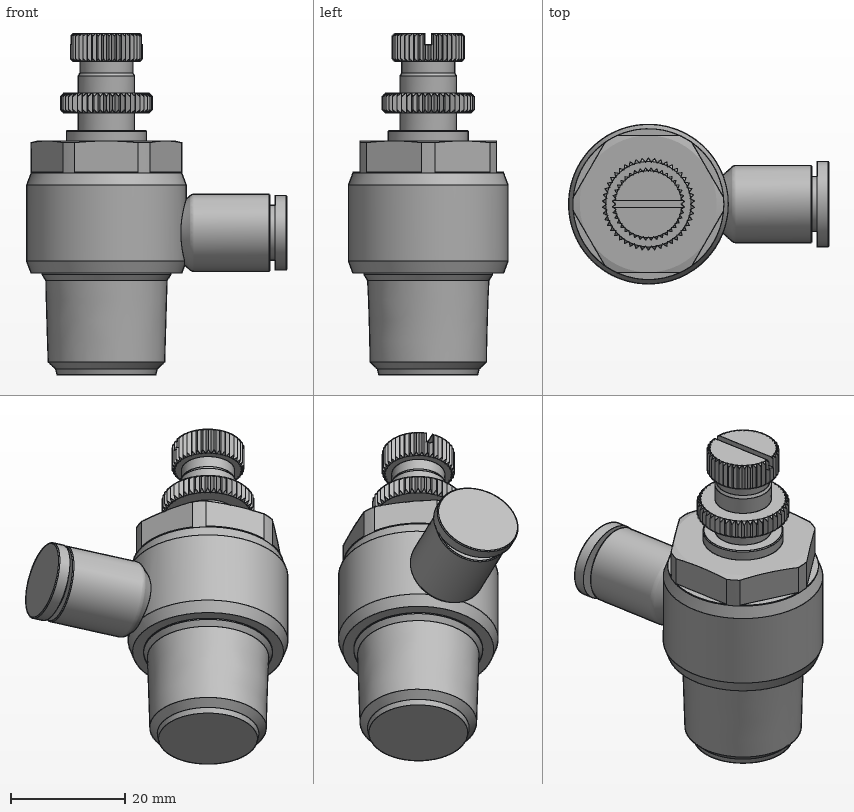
import cadquery as cq
import math

tip_top = 1.0
thread_bottom = 2.3
thread_top = 16.55
neck_top = 17.6
body_bottom = 17.8
body_top = 35.35
hex_bottom = 35.5
hex_top = 40.95
collar_top = 42.8
nut_bottom = 45.85
nut_top = 49.35
rod_step_bottom = 52.3
rod_step_top = 52.85
head_bottom = 54.9
total_height = 59.8

tip_end_radius = 8.7
tip_radius = 8.9
thread_bottom_radius = 10.2
thread_top_radius = 10.65
neck_radius = 11.3
body_radius = 14.0
body_end_radius = 13.2
body_chamfer_height = 2.1

hex_across_flats = 24.0
hex_corner_radius = body_end_radius
hex_chamfer_height = 0.3

edge_break = 0.2

collar_diameter = 14.05
rod_radius = 4.95
rod_upper_radius = 4.65
nut_radius = 8.1
nut_root_radius = 7.35
nut_tooth_count = 46
nut_chamfer = 0.6
head_radius = 6.35
head_root_radius = 5.75
head_tooth_count = 40
head_chamfer = 0.5
slot_width = 1.2
slot_depth = 2.0

port_height = 24.9
port_diameter = 13.6
port_nose_start = 10.75
port_barrel_start = 14.95
port_barrel_end = 28.65
port_nose_slope = 0.9
port_shoulder_fillet = 1.0
ring_neck_radius = 4.85
ring_start = 29.55
ring_end = 31.65
ring_size_y = 15.0
ring_size_z = 13.1


def revolve_about_z(outline):
    """Solid of revolution from (radius, height) points; both ends close on the axis."""
    return cq.Workplane("XZ").polyline(outline).close().revolve(360, (0, 0, 0), (0, 1, 0))


def cylinder(radius, bottom, top):
    return cq.Workplane("XY").workplane(offset=bottom).circle(radius).extrude(top - bottom)


def knurled_disc(radius, root_radius, tooth_count, bottom, top, chamfer):
    """Disc with straight V-shaped teeth and chamfered rims; a valley points along +X."""
    points = []
    for index in range(2 * tooth_count):
        angle = index * math.pi / tooth_count
        reach = root_radius if index % 2 == 0 else radius
        points.append((reach * math.cos(angle), reach * math.sin(angle)))
    toothed = cq.Workplane("XY").workplane(offset=bottom).polyline(points).close().extrude(top - bottom)
    envelope = cylinder(radius, bottom, top).edges().chamfer(chamfer)
    return toothed.intersect(envelope)


def make_stem_and_body():
    return revolve_about_z([
        (0, 0),
        (tip_end_radius, 0),
        (tip_radius, tip_top),
        (thread_bottom_radius, thread_bottom),
        (thread_top_radius, thread_top),
        (neck_radius, neck_top),
        (neck_radius, body_bottom),
        (body_end_radius, body_bottom),
        (body_radius, body_bottom + body_chamfer_height),
        (body_radius, body_top - body_chamfer_height),
        (body_end_radius, body_top),
        (body_end_radius, hex_bottom),
        (0, hex_bottom),
    ])


def make_hex_cap():
    across_corners = hex_across_flats / math.cos(math.pi / 6)
    prism = (
        cq.Workplane("XY").workplane(offset=hex_bottom)
        .polygon(6, across_corners)
        .extrude(hex_top - hex_bottom)
    )
    envelope = revolve_about_z([
        (0, hex_bottom),
        (hex_corner_radius, hex_bottom),
        (hex_corner_radius, hex_top - hex_chamfer_height),
        (hex_across_flats / 2, hex_top),
        (0, hex_top),
    ])
    return prism.intersect(envelope)


def make_screw():
    collar = cylinder(collar_diameter / 2, hex_top, collar_top).faces(">Z").edges().chamfer(edge_break)
    rod = revolve_about_z([
        (0, collar_top),
        (rod_radius, collar_top),
        (rod_radius, rod_step_bottom),
        (rod_upper_radius, rod_step_top),
        (rod_upper_radius, head_bottom),
        (0, head_bottom),
    ])
    nut = knurled_disc(nut_radius, nut_root_radius, nut_tooth_count, nut_bottom, nut_top, nut_chamfer)
    head = knurled_disc(
        head_radius, head_root_radius, head_tooth_count, head_bottom, total_height, head_chamfer
    )
    slot = (
        cq.Workplane("XY").workplane(offset=total_height - slot_depth)
        .rect(2 * head_radius, slot_width)
        .extrude(slot_depth)
    )
    return collar.union(rod).union(nut).union(head.cut(slot))


def make_port():
    """Barrel with a conical nose running into the body, a narrow neck and an oval end ring."""
    port_radius = port_diameter / 2
    nose_radius = port_radius - port_nose_slope * (port_barrel_start - port_nose_start)
    barrel = (
        cq.Workplane("XY")
        .polyline([
            (port_nose_start, 0),
            (port_nose_start, nose_radius),
            (port_barrel_start, port_radius),
            (port_barrel_end, port_radius),
            (port_barrel_end, ring_neck_radius),
            (ring_start, ring_neck_radius),
            (ring_start, 0),
        ])
        .close()
        .revolve(360, (0, 0, 0), (1, 0, 0))
        .edges(cq.selectors.RadiusNthSelector(-1))
        .edges("<X")
        .fillet(port_shoulder_fillet)
        .edges(cq.selectors.RadiusNthSelector(-1))
        .edges(">X")
        .chamfer(edge_break)
    )
    ring = (
        cq.Workplane("YZ").workplane(offset=ring_start)
        .ellipse(ring_size_y / 2, ring_size_z / 2)
        .extrude(ring_end - ring_start)
        .faces(">X").edges()
        .chamfer(edge_break)
    )
    return barrel.union(ring).translate((0, 0, port_height))


result = make_stem_and_body().union(make_hex_cap()).union(make_screw()).union(make_port())